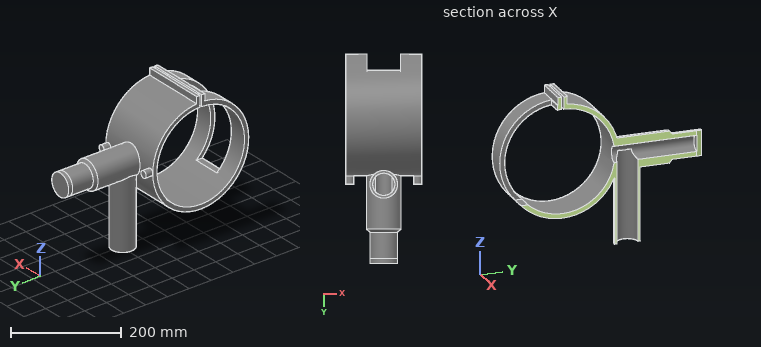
import cadquery as cq

ring_width = 138.0
ring_outer_radius = 110.0
ring_inner_radius = 100.0

gap_width = 4.0
lug_thickness = 7.0
lug_top = 124.3
lug_face = gap_width / 2 + lug_thickness

window_width = 60.0
window_setback = 1.0
window_floor = -74.5

overall_length = 377.8
neck_radius = 31.5
spigot_radius = 25.0
cone_start = 206.0
cone_end = 211.5
bore_radius = 15.0

cap_radius = spigot_radius
cap_thickness = 9.0
cap_end = overall_length - ring_outer_radius
spigot_end = cap_end - cap_thickness

branch_offset = 125.0
branch_radius = 25.0
branch_bore_radius = 20.0
branch_bottom = -173.5

pin_radius = 7.5
pin_end = branch_offset
pin_offset = ring_width / 2 - pin_radius


def cylinder_along_x(radius):
    """Cylinder as wide as the ring, with its seam at the top, inside the gap."""
    plane = cq.Plane((-ring_width / 2, 0, 0), xDir=(0, 0, 1), normal=(1, 0, 0))
    return cq.Workplane(plane).circle(radius).extrude(ring_width)


def cylinder_along_y(radius, start, end, x=0):
    """Cylinder at height zero, running along +Y from start to end."""
    return cq.Workplane("XZ", origin=(x, start, 0)).circle(radius).extrude(start - end)


def branch_cylinder(radius):
    """Vertical cylinder from the branch's lower end up to the neck axis."""
    base = cq.Workplane("XY", origin=(0, branch_offset, branch_bottom))
    return base.circle(radius).extrude(-branch_bottom)


def make_neck():
    """Solid neck with cone and spigot; its root starts inside the ring."""
    root = ring_inner_radius / 2
    profile = [
        (0, root),
        (neck_radius, root),
        (neck_radius, cone_start),
        (spigot_radius, cone_end),
        (spigot_radius, spigot_end),
        (0, spigot_end),
    ]
    return cq.Workplane("XY").polyline(profile).close().revolve(360, (0, 0, 0), (0, 1, 0))


def upright_block(depth):
    """Block across the ring, from its axis up to the top of the lugs."""
    return cq.Workplane("XY").box(ring_width, depth, lug_top, centered=(True, True, False))


def make_window():
    """Box that opens the ring from the window's upper plane to its flat floor."""
    height = ring_outer_radius - window_floor
    window = cq.Workplane("XY").box(window_width, ring_outer_radius, height, centered=(True, False, False))
    back = -lug_face - window_setback
    return window.translate((0, back - ring_outer_radius, window_floor))


def make_saddle():
    saddle = cylinder_along_x(ring_outer_radius)
    saddle = saddle.union(upright_block(2 * lug_face))
    saddle = saddle.union(make_neck())
    saddle = saddle.union(branch_cylinder(branch_radius))
    for side in (-1, 1):
        saddle = saddle.union(cylinder_along_y(pin_radius, ring_inner_radius, pin_end, side * pin_offset))

    saddle = saddle.cut(cylinder_along_x(ring_inner_radius))
    saddle = saddle.cut(upright_block(gap_width))
    saddle = saddle.cut(make_window())
    saddle = saddle.cut(cylinder_along_y(bore_radius, 0, spigot_end))
    return saddle.cut(branch_cylinder(branch_bore_radius))


def make_cap():
    return cylinder_along_y(cap_radius, spigot_end, cap_end)


saddle = make_saddle()
cap = make_cap()

result = cq.Compound.makeCompound([saddle.solids().val(), cap.val()])